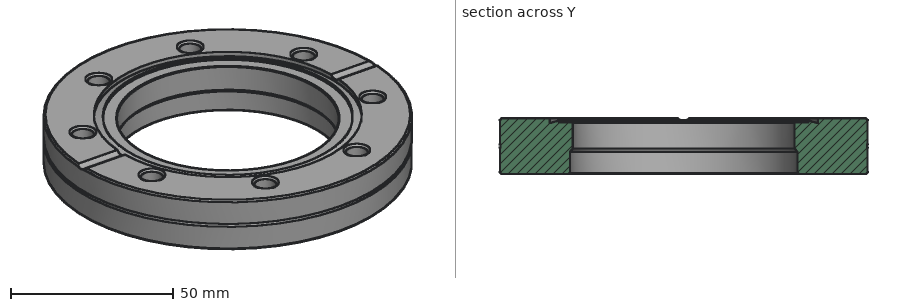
import cadquery as cq
outer_diameter = 113.54
thickness = 17.27
rim_chamfer = 0.6

rim_groove_height = thickness / 2
rim_groove_width = 1.0
rim_groove_depth = 0.25

bore_diameter = 68.33
socket_diameter = 70.1
socket_depth = 6.75
shoulder_height = 1.1
bore_chamfer = 0.25
socket_chamfer = 0.4

recess_diameter = 82.55
recess_depth = 1.5
knife_diameter = 77.1
knife_depth = 0.65
knife_wall_run = 0.15
sealing_floor_depth = 1.25

bolt_count = 8
bolt_circle_diameter = 92.2
bolt_hole_diameter = 6.8
bolt_hole_rim_diameter = 8.25
countersink_angle = 90

leak_groove_width = 3.8
leak_groove_depth = 0.85


def ring_body():
    """Flange ring revolved about Z, including the bore, recess and rim groove."""
    outer = outer_diameter / 2
    bore = bore_diameter / 2
    socket = socket_diameter / 2
    recess = recess_diameter / 2
    knife = knife_diameter / 2
    half_groove = rim_groove_width / 2
    sealing_floor = thickness - sealing_floor_depth

    profile = (
        cq.Workplane("XZ")
        .moveTo(socket, socket_chamfer)
        .lineTo(socket + socket_chamfer, 0)
        .lineTo(outer - rim_chamfer, 0)
        .lineTo(outer, rim_chamfer)
        .lineTo(outer, rim_groove_height - half_groove)
        .threePointArc(
            (outer - rim_groove_depth, rim_groove_height),
            (outer, rim_groove_height + half_groove),
        )
        .lineTo(outer, thickness - rim_chamfer)
        .lineTo(outer - rim_chamfer, thickness)
        .lineTo(recess, thickness)
        .lineTo(recess, thickness - recess_depth)
        .lineTo(knife, thickness - knife_depth)
        .lineTo(knife - knife_wall_run, sealing_floor)
        .lineTo(bore + bore_chamfer, sealing_floor)
        .lineTo(bore, sealing_floor - bore_chamfer)
        .lineTo(bore, socket_depth + shoulder_height)
        .lineTo(socket, socket_depth)
        .close()
    )
    return profile.revolve(360, (0, 0, 0), (0, 1, 0))


def cut_bolt_holes(body):
    """Through holes with a countersunk rim, straddling the X and Y axes."""
    return (
        body.faces(">Z")
        .workplane(origin=(0, 0, thickness))
        .polarArray(bolt_circle_diameter / 2, 180 / bolt_count, 360, bolt_count)
        .cskHole(bolt_hole_diameter, bolt_hole_rim_diameter, countersink_angle)
    )


def cut_leak_grooves(body):
    """Round-bottomed groove from rim to rim; the recess splits it in two."""
    half_width = leak_groove_width / 2
    radius = (half_width**2 + leak_groove_depth**2) / (2 * leak_groove_depth)
    cutter = (
        cq.Workplane("XZ")
        .center(0, thickness - leak_groove_depth + radius)
        .circle(radius)
        .extrude(outer_diameter / 2, both=True)
    )
    sealing_area = cq.Workplane("XY").circle(recess_diameter / 2).extrude(thickness)
    return body.cut(cutter.cut(sealing_area))


result = cut_leak_grooves(cut_bolt_holes(ring_body()))